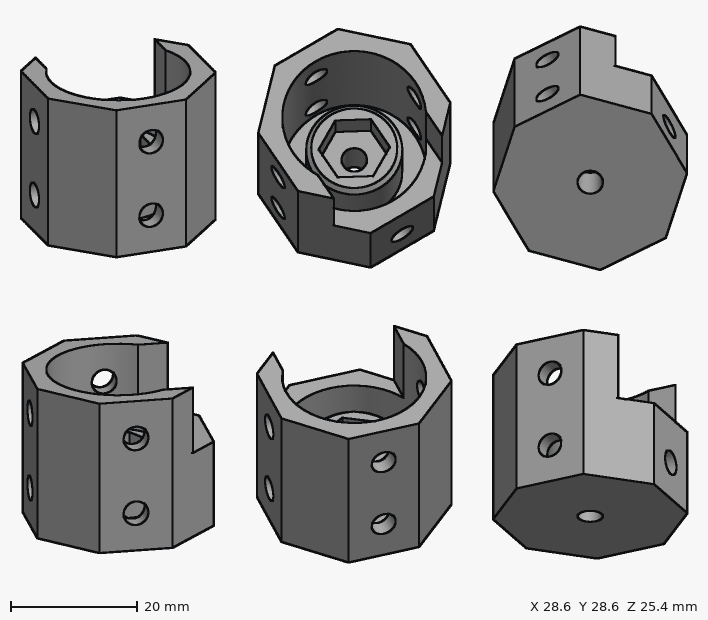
import cadquery as cq
import math

across_flats = 28.57
height = 25.4
corner_diameter = across_flats / math.cos(math.pi / 8)

bore_diameter = 22.85
floor_thickness = 3.03
boss_diameter = 15.25
boss_top = height / 2
boss_chamfer = 0.8

hex_across_flats = 9.77
hex_depth = 4.8
hole_diameter = 4.0

notch_width = 20.28
notch_floor = 14.28

hole_heights = (height / 4, 3 * height / 4)
hole_angles = (0, 90, 180, 270)


def make_body():
    """Octagonal prism with flats facing X and Y."""
    return (
        cq.Workplane("XY")
        .polygon(8, corner_diameter)
        .extrude(height)
        .rotate((0, 0, 0), (0, 0, 1), 22.5)
    )


def make_cavity():
    """Round cavity, open at the top."""
    return (
        cq.Workplane("XY", origin=(0, 0, floor_thickness))
        .circle(bore_diameter / 2)
        .extrude(height - floor_thickness)
    )


def make_notch():
    """Rectangular opening running from the body axis out through the -X wall."""
    return cq.Workplane("XY", origin=(0, 0, notch_floor)).box(
        across_flats / 2, notch_width, height - notch_floor, centered=(False, True, False)
    ).translate((-across_flats / 2, 0, 0))


def make_radial_hole(angle, z):
    """Hole through one flat wall, ending inside the cavity clear of the boss."""
    boss_clearance = (bore_diameter - boss_diameter) / 4
    inner_end = boss_diameter / 2 + boss_clearance
    return (
        cq.Workplane("YZ", origin=(inner_end, 0, z))
        .circle(hole_diameter / 2)
        .extrude(across_flats / 2 - inner_end)
        .rotate((0, 0, 0), (0, 0, 1), angle)
    )


def make_boss():
    """Boss with a chamfered rim and a blind hexagonal socket."""
    hex_corner_diameter = hex_across_flats / math.cos(math.pi / 6)
    boss = (
        cq.Workplane("XY")
        .circle(boss_diameter / 2)
        .extrude(boss_top)
        .faces(">Z")
        .chamfer(boss_chamfer)
    )
    socket = (
        cq.Workplane("XY", origin=(0, 0, boss_top - hex_depth))
        .polygon(6, hex_corner_diameter)
        .extrude(hex_depth)
    )
    return boss.cut(socket)


result = make_body().cut(make_cavity()).cut(make_notch())
for hole_height in hole_heights:
    for hole_angle in hole_angles:
        result = result.cut(make_radial_hole(hole_angle, hole_height))

center_hole = cq.Workplane("XY").circle(hole_diameter / 2).extrude(height)
result = result.union(make_boss()).cut(center_hole)